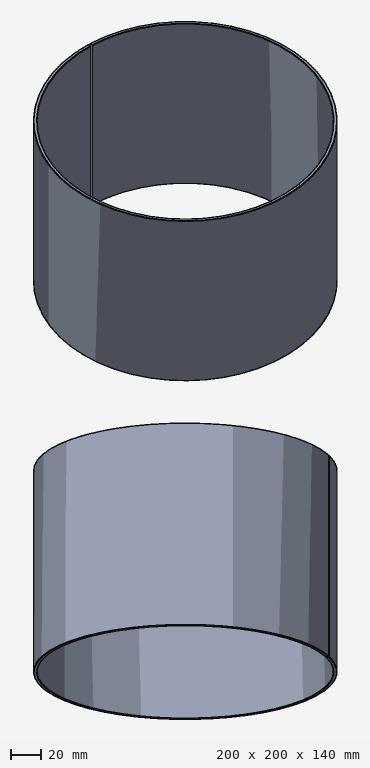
import cadquery as cq

outer_diameter = 200.0
height = 140.0
inner_diameter = 195.0
edge_chamfer = 0.5
seam_angle = 1.0

outer_radius = outer_diameter / 2
wall = (outer_diameter - inner_diameter) / 2
sweep_angle = 360 - seam_angle


def split_sleeve():
    """Thin ring wall swept about Z from the -X side, leaving a narrow seam just on its +Y side."""
    wall_section = cq.Workplane("XZ").center(-outer_radius, 0).rect(wall, height, centered=False)
    axis_start = (outer_radius, 0)
    axis_end = (outer_radius, height)
    return wall_section.revolve(sweep_angle, axis_start, axis_end)


def chamfer_rims(sleeve):
    """Bevel the inner and outer edges of both end faces."""
    rims = sleeve.faces("<Z or >Z").edges("%CIRCLE")
    return rims.chamfer(edge_chamfer)


result = chamfer_rims(split_sleeve())